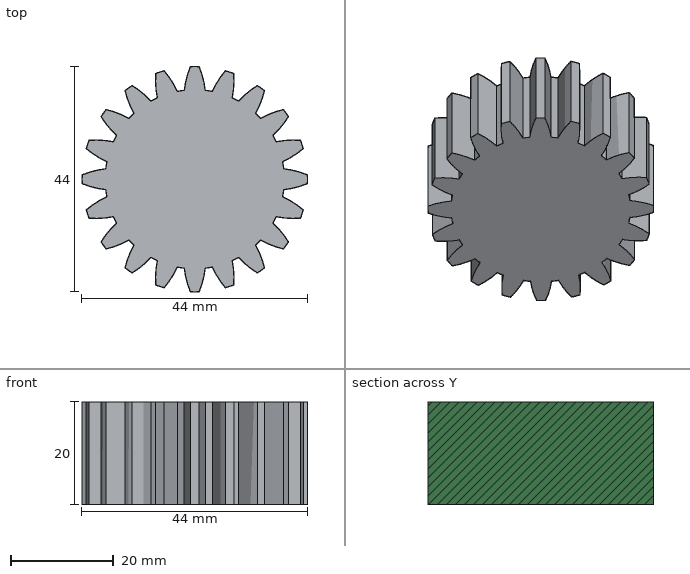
import cadquery as cq
import math

MODULE = 2.0
TOOTH_COUNT = 20
FACE_WIDTH = 20.0
ADDENDUM_FACTOR = 1.0
DEDENDUM_FACTOR = 1.25

PITCH_RADIUS = MODULE * TOOTH_COUNT / 2
TIP_RADIUS = PITCH_RADIUS + ADDENDUM_FACTOR * MODULE
ROOT_RADIUS = PITCH_RADIUS - DEDENDUM_FACTOR * MODULE

TOOTH_PITCH_ANGLE = 2 * math.pi / TOOTH_COUNT
TIP_HALF_ANGLE = TOOTH_PITCH_ANGLE / 8
PITCH_HALF_ANGLE = TOOTH_PITCH_ANGLE / 4
ROOT_HALF_ANGLE = TOOTH_PITCH_ANGLE * 3 / 8


def polar(radius, angle):
    """Point in the XY plane at a radius and an angle from the +X axis."""
    return (radius * math.cos(angle), radius * math.sin(angle))


def add_tooth(outline, center_angle):
    """Draw one tooth and the root arc that leads to the next tooth."""
    tip_center = polar(TIP_RADIUS, center_angle)
    tip_start = polar(TIP_RADIUS, center_angle - TIP_HALF_ANGLE)
    tip_end = polar(TIP_RADIUS, center_angle + TIP_HALF_ANGLE)
    rising_mid = polar(PITCH_RADIUS, center_angle - PITCH_HALF_ANGLE)
    falling_mid = polar(PITCH_RADIUS, center_angle + PITCH_HALF_ANGLE)
    root_start = polar(ROOT_RADIUS, center_angle + ROOT_HALF_ANGLE)
    root_center = polar(ROOT_RADIUS, center_angle + TOOTH_PITCH_ANGLE / 2)
    root_end = polar(ROOT_RADIUS, center_angle + TOOTH_PITCH_ANGLE - ROOT_HALF_ANGLE)

    outline = outline.threePointArc(rising_mid, tip_start)
    outline = outline.threePointArc(tip_center, tip_end)
    outline = outline.threePointArc(falling_mid, root_start)
    return outline.threePointArc(root_center, root_end)


def make_gear():
    """Extrude the closed outline of all teeth, with one tooth centred on +X."""
    outline = cq.Workplane("XY").moveTo(*polar(ROOT_RADIUS, -ROOT_HALF_ANGLE))
    for tooth in range(TOOTH_COUNT):
        outline = add_tooth(outline, tooth * TOOTH_PITCH_ANGLE)
    return outline.close().extrude(FACE_WIDTH)


result = make_gear()